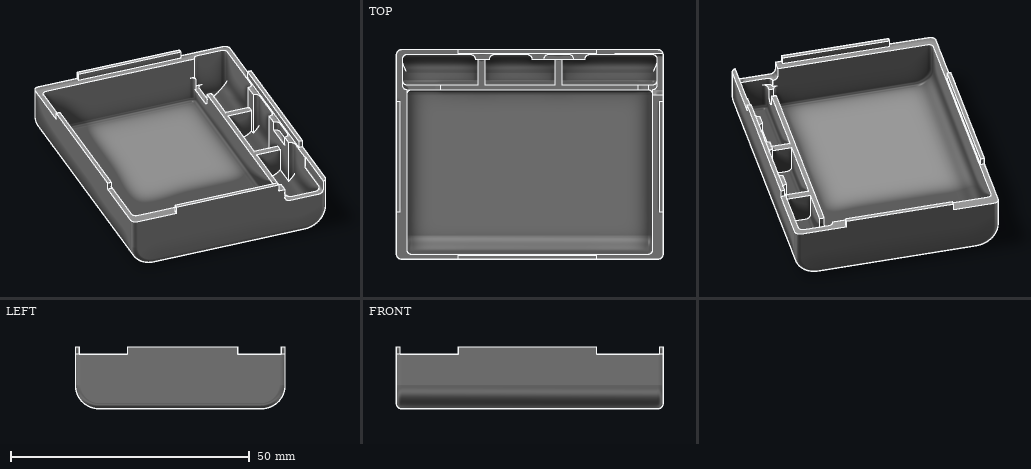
import cadquery as cq
import math

length = 56.0
width = 44.0
total_height = 13.0
lip_height = 1.5
rim_z = total_height - lip_height

floor_thickness = 1.0
rear_floor_z = 0.6
long_wall = 1.05
end_wall = 2.25
rear_end_wall = 1.3
outer_bend = 5.0
inner_bend = outer_bend - long_wall
outer_edge_radius = 1.2
bay_edge_radius = 1.0
end_edge_radius = 0.95
rear_wall_y = width / 2 - long_wall
rear_half_length = length / 2 - rear_end_wall

partition_front_y = 13.55
partition_thickness = 1.0
partition_rear_y = partition_front_y + partition_thickness
partition_top_z = 6.9
rib_width = 1.45
rib_centers = (-10.1, 6.05)

slot_bottom_z = 4.05
slot_width = 2.2
slot_overrun = 0.3
slot_center_x = 23.8
step_x = -18.7
step_radius = 1.1

pad_thickness = 1.05
joint_overlap = 0.3
pad_fillet = pad_thickness
narrow_pad = (-11.35, -8.45)
wide_pad = (0.5, 11.55)
pocket_x = (2.95, 9.2)
pocket_depth = 2.0
pocket_radius = 1.0

notch_start_x = 17.9
notch_y = (12.45, 21.1)
notch_floor_z = 8.5
notch_radius = 1.05

lip_thickness = 0.85
lip_offset = -0.5
long_lip_length = 29.0
end_lip_length = 23.1


def box(x_range, y_range, z_range):
    """Axis-aligned block between the given limits."""
    (x0, x1), (y0, y1), (z0, z1) = x_range, y_range, z_range
    return cq.Workplane("XY").box(x1 - x0, y1 - y0, z1 - z0, centered=False).translate((x0, y0, z0))


def tub(half_length, y_range, z_range, front_radius, rear_radius, edge_radius):
    """Block with both long bottom edges rounded, then the rim of each end face except its top."""
    block = box((-half_length, half_length), y_range, z_range)
    block = block.faces("<Y").edges("<Z").fillet(front_radius)
    block = block.faces(">Y").edges("<Z").fillet(rear_radius)
    return block.faces("<X or >X").edges("not >Z").fillet(edge_radius)


def make_shell():
    """Outer body up to the top of the lips, cut down to the rim outside the lips."""
    body = tub(length / 2, (-width / 2, width / 2), (0, total_height),
               outer_bend, outer_bend, outer_edge_radius)
    above_rim = box((-length, length), (-width, width), (rim_z, 2 * total_height))
    long_band = box((lip_offset - long_lip_length / 2, lip_offset + long_lip_length / 2),
                    (-width, width), (rim_z, total_height))
    end_band = box((-length, length), (lip_offset - end_lip_length / 2, lip_offset + end_lip_length / 2),
                   (rim_z, total_height))
    inside = box((lip_thickness - length / 2, length / 2 - lip_thickness),
                 (lip_thickness - width / 2, width / 2 - lip_thickness), (rim_z, total_height))
    return body.cut(above_rim.cut(long_band.union(end_band).cut(inside)))


def bay_above_partition(floor_z):
    """Space over the partition and the front of the rear bay, down to the given height."""
    block = box((-rear_half_length, rear_half_length),
                (partition_front_y, rear_wall_y - inner_bend), (floor_z, rim_z))
    return block.edges("|Z and <Y").fillet(bay_edge_radius)


def make_main_bay():
    """Large bay whose rear corners are rounded only up to the top of the partition."""
    bay = tub(length / 2 - end_wall, (long_wall - width / 2, partition_front_y),
               (floor_thickness, rim_z), inner_bend, bay_edge_radius, end_edge_radius)
    square_corners = box((end_wall - length / 2, length / 2 - end_wall),
                         (0, partition_front_y), (partition_top_z, rim_z))
    return bay.union(square_corners)


def make_rear_bay():
    """Bay with rounded corners and floor edges, whose rear floor is swept up along a large bend."""
    x_range = (-rear_half_length, rear_half_length)
    y_range = (partition_rear_y, rear_wall_y)
    z_range = (rear_floor_z, rim_z)
    bay = box(x_range, y_range, z_range).edges("|Z or <Z").fillet(bay_edge_radius)
    bend = box(x_range, y_range, z_range).faces(">Y").edges("<Z").fillet(inner_bend)
    return bay.intersect(bend)


def make_partition_slot():
    """Round-bottomed slot through the partition near its +X end."""
    radius = slot_width / 2
    arc_z = slot_bottom_z + radius
    return (
        cq.Workplane("XZ", origin=(slot_center_x, partition_rear_y + slot_overrun, 0))
        .moveTo(-radius, rim_z)
        .lineTo(-radius, arc_z)
        .threePointArc((0, slot_bottom_z), (radius, arc_z))
        .lineTo(radius, rim_z)
        .close()
        .extrude(partition_thickness + 2 * slot_overrun)
    )


def make_partition_step():
    """Lowered stretch at the -X end of the partition, rounded where it meets the full height."""
    stretch = box((-length / 2, step_x), (partition_front_y, rear_wall_y), (slot_bottom_z, rim_z))
    stretch = stretch.edges("|Y and <Z and >X").fillet(step_radius)
    return stretch.intersect(bay_above_partition(slot_bottom_z))


def make_pad(x_range):
    """Rear wall pad whose sides sweep into the wall with concave fillets."""
    x0, x1 = x_range
    front_y = rear_wall_y - pad_thickness
    bulge = pad_fillet * (1 - math.cos(math.pi / 4))
    return (
        cq.Workplane("XY")
        .moveTo(x0 - pad_fillet, rear_wall_y)
        .threePointArc((x0 - bulge, rear_wall_y - bulge), (x0, front_y))
        .lineTo(x1, front_y)
        .threePointArc((x1 + bulge, rear_wall_y - bulge), (x1 + pad_fillet, rear_wall_y))
        .lineTo(x1 + pad_fillet, rear_wall_y + joint_overlap)
        .lineTo(x0 - pad_fillet, rear_wall_y + joint_overlap)
        .close()
        .extrude(rim_z)
    )


def make_rear_details(envelope):
    """Ribs and pads of the rear bay, trimmed to the outer body."""
    details = make_pad(narrow_pad).union(make_pad(wide_pad))
    pocket = box(pocket_x, (partition_rear_y, rear_wall_y), (rim_z - pocket_depth, rim_z))
    details = details.cut(pocket.edges("|Z and >Y").fillet(pocket_radius))
    for center in rib_centers:
        rib = box((center - rib_width / 2, center + rib_width / 2),
                  (partition_front_y + joint_overlap, rear_wall_y), (rear_floor_z / 2, partition_top_z))
        details = details.union(rib)
    return details.intersect(envelope)


def make_notch():
    """Round-cornered channel along X that opens through the +X wall."""
    notch = box((notch_start_x, length), notch_y, (notch_floor_z, 2 * rim_z))
    return notch.edges("|X and <Z").fillet(notch_radius)


shell = make_shell()
hollow = shell.cut(make_main_bay()).cut(make_rear_bay()).cut(bay_above_partition(partition_top_z))
hollow = hollow.cut(make_partition_slot()).cut(make_partition_step())
result = hollow.union(make_rear_details(shell)).cut(make_notch())